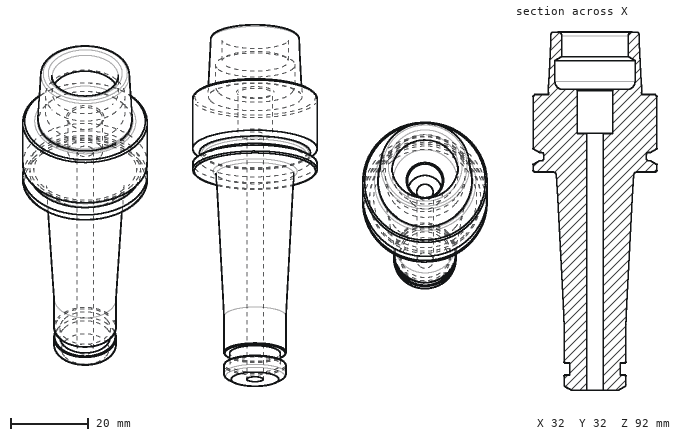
import cadquery as cq
import math


shank_top = 16.0
taper_ratio = 9.98
gauge_dia = 24.03
gauge_height = 3.0
shank_tip_round = 0.6

relief_dia = 24.03
relief_outer_dia = 26.0
relief_top = 0.9
relief_taper_end = 0.4
relief_depth = 0.15
relief_round = 0.2

flange_dia = 32.0
flange_bottom = -20.0
flange_top_chamfer = 0.5
flange_bottom_chamfer = 0.4
gripper_dia = 26.5
gripper_middle = -16.0
gripper_mouth_width = 4.0
gripper_slot_width = 2.0
gripper_flank_angle = 30.0
gripper_round = 0.5

nose_dia = 16.0
nose_top = -59.0
nose_bottom = -76.0
neck_half_angle = 3.0
neck_fillet = 0.8
nose_tip_dia = 12.2
nose_chamfer_angle = 60.0
nose_chamfer_round = 0.8

ring_dia = 13.0
ring_top = -69.0
ring_bottom = -72.0
ring_chamfer = 0.25

mouth_dia = 17.0
mouth_round = 1.0
mouth_bottom = 9.65
cavity_dia = 20.5
cavity_floor = 1.3
cavity_floor_round = 2.0
clamp_cone_angle = 60.0

thread_dia = 8.92
thread_chamfer_dia = 9.6
thread_bottom = -10.0
through_dia = 4.2


def slope_run(rise, angle):
    """Axial length of a cone that changes its radius by rise at angle to the axis."""
    return rise / math.tan(math.radians(angle))


def revolve_outline(points):
    """Turn a closed outline of (radius, z) points about Z."""
    return cq.Workplane("XZ").polyline(points).close().revolve(360, (0, 0, 0), (0, 1, 0))


def round_rim(body, radius, z, rounding):
    """Fillet the circular edge that has the given radius and height."""
    tolerance = 1e-4

    def is_rim(edge):
        if edge.geomType() != "CIRCLE":
            return False
        same_height = abs(edge.Center().z - z) < tolerance
        return same_height and abs(edge.radius() - radius) < tolerance

    return body.edges().filter(is_rim).fillet(rounding)


def taper_radius(z):
    return (gauge_dia - (z - gauge_height) / taper_ratio) / 2


def neck_root_radius():
    neck_length = flange_bottom - nose_top
    return nose_dia / 2 + neck_length * math.tan(math.radians(neck_half_angle))


def make_shank_and_flange():
    flange_r = flange_dia / 2
    gripper_r = gripper_dia / 2
    relief_r = relief_dia / 2
    half_mouth = gripper_mouth_width / 2
    half_slot = gripper_slot_width / 2
    flank_angle = math.radians(gripper_flank_angle)
    flank_r = flange_r - (half_mouth - half_slot) / math.tan(flank_angle)
    tip_r = taper_radius(shank_top)
    body = revolve_outline([
        (0, shank_top),
        (tip_r, shank_top),
        (taper_radius(relief_top), relief_top),
        (relief_r, relief_taper_end),
        (relief_r, -relief_depth),
        (relief_outer_dia / 2, 0),
        (flange_r - flange_top_chamfer, 0),
        (flange_r, -flange_top_chamfer),
        (flange_r, gripper_middle + half_mouth),
        (flank_r, gripper_middle + half_slot),
        (gripper_r, gripper_middle + half_slot),
        (gripper_r, gripper_middle - half_slot),
        (flank_r, gripper_middle - half_slot),
        (flange_r, gripper_middle - half_mouth),
        (flange_r, flange_bottom + flange_bottom_chamfer),
        (flange_r - flange_bottom_chamfer, flange_bottom),
        (0, flange_bottom),
    ])
    body = round_rim(body, tip_r, shank_top, shank_tip_round)
    body = round_rim(body, relief_r, -relief_depth, relief_round)
    for corner in (gripper_middle + half_slot, gripper_middle - half_slot):
        body = round_rim(body, gripper_r, corner, gripper_round)
    return body


def make_neck_and_nose():
    nose_r = nose_dia / 2
    ring_r = ring_dia / 2
    tip_r = nose_tip_dia / 2
    chamfer_top = nose_bottom + slope_run(nose_r - tip_r, nose_chamfer_angle)
    body = revolve_outline([
        (0, flange_bottom),
        (neck_root_radius(), flange_bottom),
        (nose_r, nose_top),
        (nose_r, ring_top + ring_chamfer),
        (nose_r - ring_chamfer, ring_top),
        (ring_r, ring_top),
        (ring_r, ring_bottom),
        (nose_r - ring_chamfer, ring_bottom),
        (nose_r, ring_bottom - ring_chamfer),
        (nose_r, chamfer_top),
        (tip_r, nose_bottom),
        (0, nose_bottom),
    ])
    return round_rim(body, nose_r, chamfer_top, nose_chamfer_round)


def make_cavity():
    mouth_r = mouth_dia / 2
    cavity_r = cavity_dia / 2
    clamp_bottom = mouth_bottom - slope_run(cavity_r - mouth_r, clamp_cone_angle)
    cavity = revolve_outline([
        (0, shank_top),
        (mouth_r, shank_top),
        (mouth_r, mouth_bottom),
        (cavity_r, clamp_bottom),
        (cavity_r, cavity_floor),
        (0, cavity_floor),
    ])
    return round_rim(cavity, cavity_r, cavity_floor, cavity_floor_round)


def make_axial_bores():
    thread_r = thread_dia / 2
    through_r = through_dia / 2
    chamfer_r = thread_chamfer_dia / 2
    chamfer_depth = chamfer_r - thread_r
    return revolve_outline([
        (0, cavity_floor),
        (chamfer_r, cavity_floor),
        (thread_r, cavity_floor - chamfer_depth),
        (thread_r, thread_bottom),
        (through_r, thread_bottom),
        (through_r, nose_bottom),
        (0, nose_bottom),
    ])


holder = make_shank_and_flange().union(make_neck_and_nose())
holder = round_rim(holder, neck_root_radius(), flange_bottom, neck_fillet)
holder = holder.cut(make_cavity()).cut(make_axial_bores())
result = round_rim(holder, mouth_dia / 2, shank_top, mouth_round)